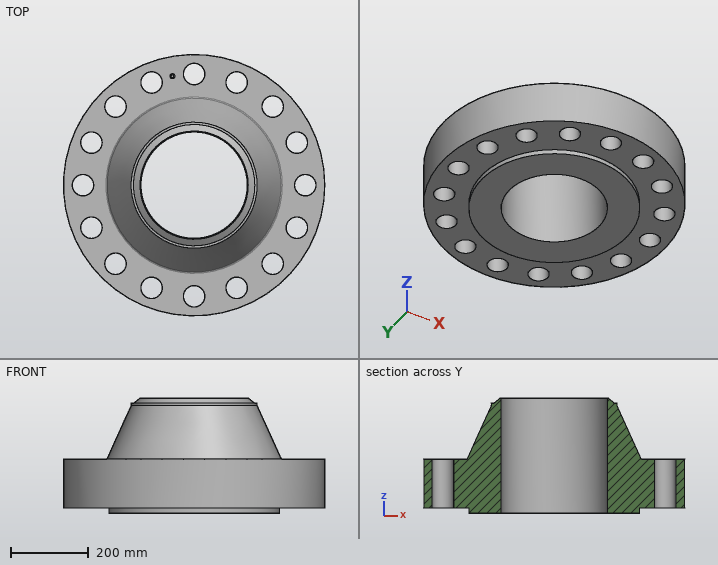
import cadquery as cq

flange_diameter = 673.0
flange_thickness = 126.0

raised_face_radius = 220.0
raised_face_height = 13.5

hub_base_radius = 225.0
hub_height = 138.0
hub_base_fillet = 3.5

neck_radius = 162.0
neck_height = 6.0

bevel_base_radius = 156.0
bevel_top_radius = 139.0
bevel_height = 13.5

bore_radius = 136.5

bolt_count = 16
bolt_circle_radius = 286.0
bolt_hole_diameter = 54.5

small_hole_diameter = 7.0
small_hole_depth = 13.5
countersink_diameter = 13.0
countersink_angle = 90.0
small_hole_angle = 90.0 + 180.0 / bolt_count

flange_bottom = raised_face_height
flange_top = flange_bottom + flange_thickness
hub_top = flange_top + hub_height
shoulder_level = hub_top + neck_height
part_top = shoulder_level + bevel_height

root_margin = 1.0
hub_reach = hub_base_radius + root_margin


def make_body():
    """Revolve the half section, bore included, about the Z axis."""
    section = [
        (bore_radius, 0),
        (raised_face_radius, 0),
        (raised_face_radius, flange_bottom),
        (flange_diameter / 2, flange_bottom),
        (flange_diameter / 2, flange_top),
        (hub_base_radius, flange_top),
        (neck_radius, hub_top),
        (neck_radius, shoulder_level),
        (bevel_base_radius, shoulder_level),
        (bevel_top_radius, part_top),
        (bore_radius, part_top),
    ]
    body = cq.Workplane("XZ").polyline(section).close().revolve(360, (0, 0), (0, 1))
    on_flange_top = cq.selectors.BoxSelector(
        (-hub_reach, -hub_reach, flange_top - root_margin),
        (hub_reach, hub_reach, flange_top + root_margin),
        boundingbox=True,
    )
    return body.edges(on_flange_top).fillet(hub_base_fillet)


def make_bolt_holes():
    """Cylinders that cut the ring of bolt holes through the flange."""
    return (
        cq.Workplane("XY", origin=(0, 0, flange_bottom))
        .polarArray(bolt_circle_radius, 0, 360, bolt_count)
        .circle(bolt_hole_diameter / 2)
        .extrude(flange_thickness)
    )


def cut_small_hole(body):
    """Countersunk blind hole, drilled down from the flange top."""
    return (
        body.copyWorkplane(cq.Workplane("XY", origin=(0, 0, flange_top)))
        .polarArray(bolt_circle_radius, small_hole_angle, 360, 1)
        .cskHole(small_hole_diameter, countersink_diameter, countersink_angle, small_hole_depth)
    )


result = cut_small_hole(make_body().cut(make_bolt_holes()))